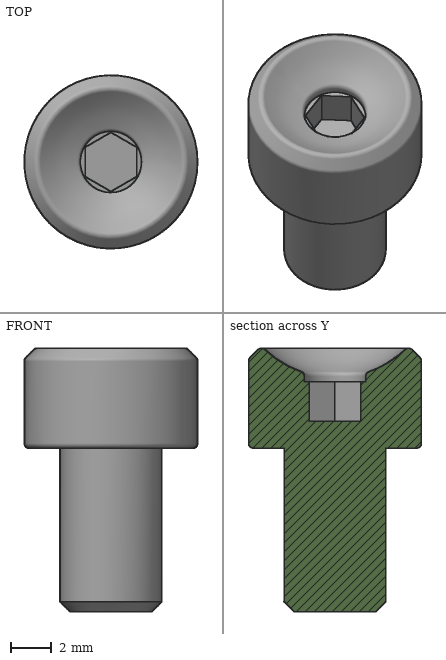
import cadquery as cq
import math

total_height = 12.91
shank_length = 8.0
shank_radius = 5.0 / 2
shank_chamfer = 0.5
head_radius = 8.5 / 2
edge_radius = 0.25

rim_crest_radius = 3.6
dish_radius = 5.0

socket_radius = 3.0 / 2
socket_shelf_z = 11.27
hex_across_flats = 2.5
hex_depth = 1.94


def point_from(center, distance, degrees):
    """Point (radius, height) at a distance and angle from a center."""
    angle = math.radians(degrees)
    return (
        center[0] + distance * math.cos(angle),
        center[1] + distance * math.sin(angle),
    )


def direction(start, end):
    """Angle in degrees of the line from start to end."""
    return math.degrees(math.atan2(end[1] - start[1], end[0] - start[0]))


def add_arc(profile, center, radius, start_angle, end_angle):
    """Continue the profile with an arc, which begins at the current point."""
    middle = point_from(center, radius, (start_angle + end_angle) / 2)
    return profile.threePointArc(middle, point_from(center, radius, end_angle))


rim_center = (rim_crest_radius, total_height - edge_radius)
shoulder_center_radius = head_radius - edge_radius
shoulder_center = (
    shoulder_center_radius,
    rim_center[1] - (shoulder_center_radius - rim_crest_radius),
)
bevel_normal = 45

center_distance = dish_radius + edge_radius
lip_center_radius = socket_radius + edge_radius
dish_center = (0, rim_center[1] + math.sqrt(center_distance**2 - rim_center[0]**2))
lip_center = (
    lip_center_radius,
    dish_center[1] - math.sqrt(center_distance**2 - lip_center_radius**2),
)
rim_tangent = direction(rim_center, dish_center)
lip_tangent = direction(lip_center, dish_center)
under_center = (head_radius - edge_radius, shank_length + edge_radius)


def make_screw_body():
    """Revolved shank and head, with the dish and the round socket mouth."""
    profile = (
        cq.Workplane("XZ")
        .lineTo(shank_radius - shank_chamfer, 0)
        .lineTo(shank_radius, shank_chamfer)
        .lineTo(shank_radius, shank_length)
        .lineTo(under_center[0], shank_length)
    )
    profile = add_arc(profile, under_center, edge_radius, -90, 0)
    profile = profile.lineTo(head_radius, shoulder_center[1])
    profile = add_arc(profile, shoulder_center, edge_radius, 0, bevel_normal)
    profile = profile.lineTo(*point_from(rim_center, edge_radius, bevel_normal))
    profile = add_arc(profile, rim_center, edge_radius, bevel_normal, rim_tangent)
    profile = add_arc(profile, dish_center, dish_radius, rim_tangent - 180, lip_tangent - 180)
    profile = add_arc(profile, lip_center, edge_radius, lip_tangent, 180)
    profile = profile.lineTo(socket_radius, socket_shelf_z).lineTo(0, socket_shelf_z).close()
    return profile.revolve(360, (0, 0), (0, 1))


def make_hex_socket():
    """Hexagonal pocket below the shelf, with two corners on the Y axis."""
    across_corners = hex_across_flats / math.cos(math.radians(30))
    return (
        cq.Workplane("XY", origin=(0, 0, socket_shelf_z))
        .transformed(rotate=(0, 0, 90))
        .polygon(6, across_corners)
        .extrude(-hex_depth)
    )


result = make_screw_body().cut(make_hex_socket())